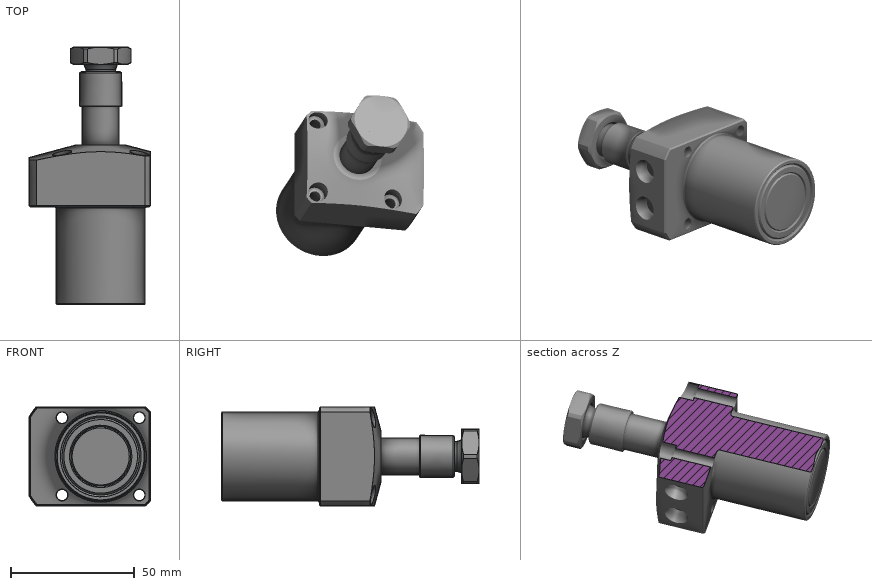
import cadquery as cq
import math


total_length = 104.0
barrel_length = 39.5
block_depth = 25.0
barrel_front = -barrel_length
nut_back = total_length - barrel_length

block_width = 49.0
block_height = 40.0
block_right = 20.1
block_left = block_right - block_width
left_corner_x = 2.9
left_corner_z = 4.1
left_corner_radius = 33.0
right_chamfer = 2.1
block_edge_chamfer = 0.5
crown_flat_radius = 10.0
crown_angle = 15.0
mount_hole_diameter = 4.6
mount_hole_pitch = 31.2
counterbore_diameter = 7.7
counterbore_floor = 16.6

port_mouth_diameter = 9.8
port_floor_diameter = 8.5
port_depth = 5.7
port_y = 11.2
port_pitch = 16.0

barrel_radius = 18.0
barrel_chamfer = 0.4
barrel_root_flare = 0.5

ring_radius = 15.6
ring_seat_chamfer = 0.7
plug_radius = 12.1
plug_seat_chamfer = 0.5
closure_depth = 6.2
closure_back = barrel_front + closure_depth

rod_radius = 7.5
rod_insertion = 25.0
seat_start = 40.5
seat_stop = 54.6
seat_front_radius = 17.2 / 2
seat_back_radius = 17.0 / 2
seat_front_chamfer = 0.3
seat_back_chamfer = 0.6
relief_radius = 6.0
relief_length = 0.9
relief_cone_length = 2.6
thread_radius = 7.0

nut_height = 7.0
nut_across_flats = 22.0
nut_corner_radius = 12.3
nut_chamfer_width = 1.2
nut_chamfer_depth = 0.7
countersink_radius = 7.9
nut_front = nut_back - nut_height


def turned(profile):
    """Revolve a closed (radius, y) polyline around the Y axis."""
    return cq.Workplane("XY").polyline(profile).close().revolve(360, (0, 0, 0), (0, 1, 0))


def cylinder(radius, front, back):
    """Plain cylinder on the Y axis from front to back."""
    return cq.Workplane("XZ", origin=(0, front, 0)).circle(radius).extrude(front - back)


def flange_block():
    half_height = block_height / 2
    left_top_x = block_left + left_corner_x
    left_side_z = half_height - left_corner_z
    right_top_x = block_right - right_chamfer
    right_side_z = half_height - right_chamfer
    block = (
        cq.Workplane("XZ")
        .moveTo(left_top_x, half_height)
        .lineTo(right_top_x, half_height)
        .lineTo(block_right, right_side_z)
        .lineTo(block_right, -right_side_z)
        .lineTo(right_top_x, -half_height)
        .lineTo(left_top_x, -half_height)
        .radiusArc((block_left, -left_side_z), left_corner_radius)
        .lineTo(block_left, left_side_z)
        .radiusArc((left_top_x, half_height), left_corner_radius)
        .close()
        .extrude(-block_depth)
    )
    block = block.faces("<Y").chamfer(block_edge_chamfer)

    crown_radius = block_width
    crown_drop = (crown_radius - crown_flat_radius) * math.tan(math.radians(crown_angle))
    crown = turned([
        (0, block_depth),
        (crown_flat_radius, block_depth),
        (crown_radius, block_depth - crown_drop),
        (crown_radius, 0),
        (0, 0),
    ])
    return block.intersect(crown)


def barrel():
    return turned([
        (0, barrel_front),
        (barrel_radius - barrel_chamfer, barrel_front),
        (barrel_radius, barrel_front + barrel_chamfer),
        (barrel_radius, -barrel_root_flare),
        (barrel_radius + barrel_root_flare, 0),
        (0, 0),
    ])


def hole_pattern(diameter, front):
    """Four parallel cylinders at the mounting positions, from front to the block's back."""
    return (
        cq.Workplane("XZ", origin=(0, front, 0))
        .rect(mount_hole_pitch, mount_hole_pitch, forConstruction=True)
        .vertices()
        .circle(diameter / 2)
        .extrude(front - block_depth)
    )


def mount_holes():
    through_holes = hole_pattern(mount_hole_diameter, 0)
    return through_holes.union(hole_pattern(counterbore_diameter, counterbore_floor))


def oil_port(z):
    mouth = cq.Workplane("YZ", origin=(block_left, port_y, z)).circle(port_mouth_diameter / 2)
    return mouth.workplane(offset=port_depth).circle(port_floor_diameter / 2).loft()


def closure_seat():
    return turned([
        (0, barrel_front),
        (ring_radius + ring_seat_chamfer, barrel_front),
        (ring_radius, barrel_front + ring_seat_chamfer),
        (ring_radius, closure_back),
        (0, closure_back),
    ])


def make_housing():
    housing = flange_block().union(barrel()).cut(mount_holes())
    for z in (-port_pitch / 2, port_pitch / 2):
        housing = housing.cut(oil_port(z))
    rod_bore = cylinder(rod_radius, block_depth - rod_insertion, block_depth)
    return housing.cut(closure_seat()).cut(rod_bore)


def make_retaining_ring():
    return turned([
        (plug_radius + plug_seat_chamfer, barrel_front),
        (ring_radius - ring_seat_chamfer, barrel_front),
        (ring_radius, barrel_front + ring_seat_chamfer),
        (ring_radius, closure_back),
        (plug_radius, closure_back),
        (plug_radius, barrel_front + plug_seat_chamfer),
    ])


def make_plug():
    return cylinder(plug_radius, barrel_front, closure_back).faces("<Y").chamfer(plug_seat_chamfer)


def make_rod():
    relief_stop = seat_stop + relief_length
    return turned([
        (0, block_depth - rod_insertion),
        (rod_radius, block_depth - rod_insertion),
        (rod_radius, seat_start),
        (seat_front_radius - seat_front_chamfer, seat_start),
        (seat_front_radius, seat_start + seat_front_chamfer),
        (seat_back_radius, seat_stop - seat_back_chamfer),
        (seat_back_radius - seat_back_chamfer, seat_stop),
        (relief_radius, seat_stop),
        (relief_radius, relief_stop),
        (thread_radius, relief_stop + relief_cone_length),
        (thread_radius, nut_back),
        (0, nut_back),
    ])


def make_nut():
    across_corners = nut_across_flats / math.cos(math.pi / 6)
    hexagon = cq.Workplane("XZ", origin=(0, nut_front, 0)).polygon(6, across_corners)
    hexagon = hexagon.extrude(-nut_height)

    face_radius = nut_corner_radius - nut_chamfer_width
    countersink_depth = countersink_radius - thread_radius
    turning = turned([
        (countersink_radius, nut_front),
        (face_radius, nut_front),
        (nut_corner_radius, nut_front + nut_chamfer_depth),
        (nut_corner_radius, nut_back - nut_chamfer_depth),
        (face_radius, nut_back),
        (thread_radius, nut_back),
        (thread_radius, nut_front + countersink_depth),
    ])
    return hexagon.intersect(turning)


housing = make_housing()
retaining_ring = make_retaining_ring()
plug = make_plug()
rod = make_rod()
nut = make_nut()

result = cq.Compound.makeCompound([
    housing.val(),
    retaining_ring.val(),
    plug.val(),
    rod.val(),
    nut.val(),
])